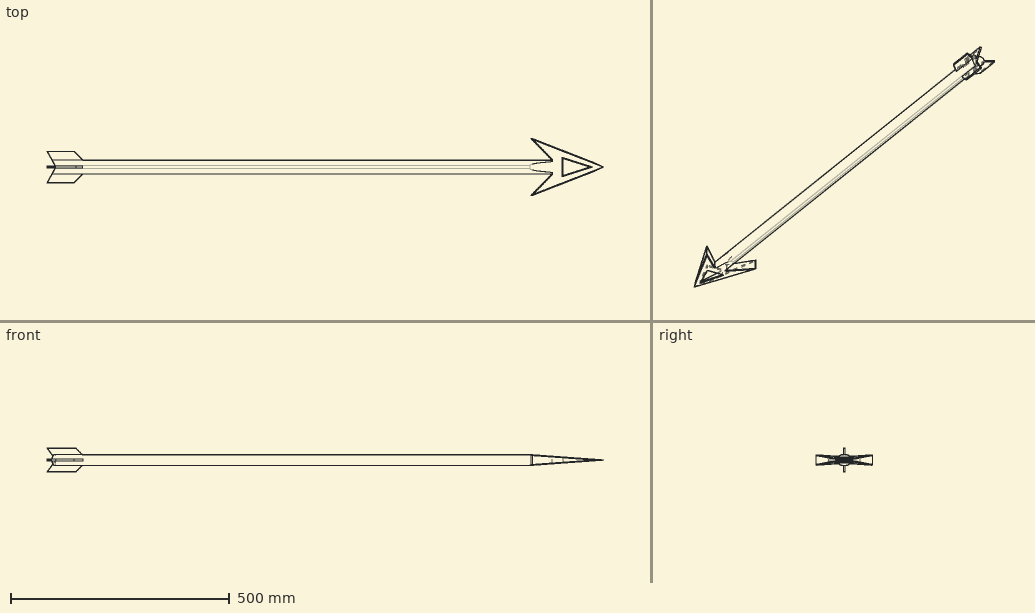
import cadquery as cq
import math

arrow_length = 1270.63
head_width = 129.88
fin_span_z = 54.25
fin_span_y = 72.0

shaft_height = 25.0
shaft_width = 32.0
nock_depth = 20.0

fin_thickness = 4.0
side_fin_length = 62.0
upright_fin_length = 66.0
fin_front_rake = 1.0

head_length = 168.0
head_base_height = shaft_height
point_thickness = 0.6
edge_chamfer = 1.9
chamfer_angle = 45.0
edge_angle = math.radians(21.3)
barb_notch_depth = 50.0
window_base_from_point = 92.5
window_length = 61.0
window_half_width = 19.5

head_start = arrow_length - head_length
notch_x = head_start + barb_notch_depth
head_half_width = head_width / 2
taper_angle = math.atan2((head_base_height - point_thickness) / 2, head_length)
sharp_tip_x = arrow_length + (edge_chamfer - point_thickness / 2) / math.sin(edge_angle)
sharp_half_width = (sharp_tip_x - head_start) * math.tan(edge_angle)
window_x = arrow_length - window_base_from_point

head_outline = [
    (sharp_tip_x, 0),
    (head_start, sharp_half_width),
    (notch_x, shaft_width / 2),
    (notch_x, -shaft_width / 2),
    (head_start, -sharp_half_width),
]
window_outline = [
    (window_x, -window_half_width),
    (window_x + window_length, 0),
    (window_x, window_half_width),
]


def make_shaft_bar(start_x, end_x):
    """Bar of the shaft cross-section between two places along X."""
    return (
        cq.Workplane("YZ", origin=(start_x, 0, 0))
        .slot2D(shaft_width, shaft_height)
        .extrude(end_x - start_x)
    )


def make_head_wedge():
    """Side profile of the head, tapering evenly to a thin edge at the point.

    Its width trims the barbs to the head width.
    """
    return (
        cq.Workplane("XZ")
        .polyline([
            (head_start, -head_base_height / 2),
            (arrow_length, -point_thickness / 2),
            (arrow_length, point_thickness / 2),
            (head_start, head_base_height / 2),
        ])
        .close()
        .extrude(head_half_width, both=True)
    )


def make_upright_prism(outline):
    """Vertical prism over a plan outline, taller than the head."""
    return cq.Workplane("XY").polyline(outline).close().extrude(head_base_height, both=True)


def make_chamfer_cutter():
    """Material to remove along the outline and window edges of the sloping top face.

    A slab under the face is left with a sloping-sided plug of the finished shape taken out of it.
    """
    depth = 2 * edge_chamfer
    top_face = cq.Plane(
        origin=(arrow_length, 0, point_thickness / 2),
        xDir=(math.cos(taper_angle), 0, -math.sin(taper_angle)),
        normal=(math.sin(taper_angle), 0, math.cos(taper_angle)),
    )

    def on_face(outline):
        """Plan outline stretched along the sloping face and measured from the point."""
        return [((x - arrow_length) / math.cos(taper_angle), y) for x, y in outline]

    plug = (
        cq.Workplane(top_face)
        .workplane(offset=-depth)
        .polyline(on_face(head_outline))
        .close()
        .offset2D(edge_chamfer, "intersection")
        .extrude(depth, taper=chamfer_angle)
    )
    window_plug = (
        cq.Workplane(top_face)
        .polyline(on_face(window_outline))
        .close()
        .offset2D(edge_chamfer, "intersection")
        .extrude(-depth, taper=chamfer_angle)
    )
    slab = cq.Workplane(top_face).rect(3 * head_length, 2 * head_width).extrude(-depth)
    return slab.cut(plug).union(window_plug)


def make_head():
    """Chamfered barbed plate with a triangular window, blended into the end of the shaft."""
    wedge = make_head_wedge()
    plate = make_upright_prism(head_outline).cut(make_upright_prism(window_outline)).intersect(wedge)
    cutter = make_chamfer_cutter()
    plate = plate.cut(cutter).cut(cutter.mirror("XY"))
    tang_end = notch_x + 2 * edge_chamfer
    tang = make_shaft_bar(head_start, tang_end).intersect(wedge)
    return plate.union(tang)


def make_fin_pair(span, outer_length):
    """Two opposite swept-back fins lying in the XY plane, joined on the axis."""
    half_span = span / 2
    front_root = outer_length + fin_front_rake * half_span
    return (
        cq.Workplane("XY")
        .polyline([
            (nock_depth, 0),
            (0, half_span),
            (outer_length, half_span),
            (front_root, 0),
            (outer_length, -half_span),
            (0, -half_span),
        ])
        .close()
        .extrude(fin_thickness / 2, both=True)
    )


def make_nock():
    """Upright V notch across the rear end, in line with the rear edges of the side fins."""
    half_span = fin_span_y / 2
    return (
        cq.Workplane("XY")
        .polyline([
            (nock_depth, 0),
            (0, half_span),
            (0, -half_span),
        ])
        .close()
        .extrude(shaft_height, both=True)
    )


side_fins = make_fin_pair(fin_span_y, side_fin_length)
upright_fins = make_fin_pair(fin_span_z, upright_fin_length).rotate((0, 0, 0), (1, 0, 0), 90)

result = (
    make_shaft_bar(0, head_start)
    .cut(make_nock())
    .union(make_head())
    .union(side_fins)
    .union(upright_fins)
)